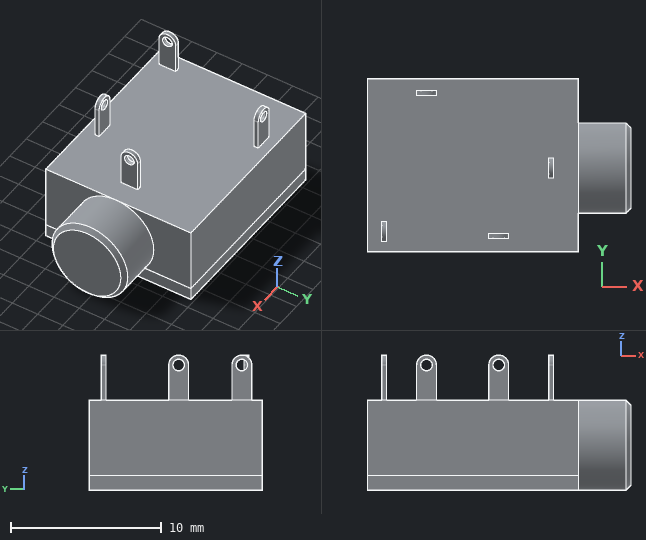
import cadquery as cq

block_length = 14.0
block_width = 11.5
block_height = 6.0
base_thickness = 1.0
housing_height = block_height - base_thickness

barrel_length = 3.5
barrel_radius = block_height / 2
barrel_offset = -0.2
barrel_chamfer = 0.33

tag_width = 1.33
tag_thickness = 0.33
tag_height = 3.0
tag_hole_diameter = 0.75
tag_eye_height = tag_height - tag_width / 2

tags_across_x = [(1.1, -4.4), (12.2, barrel_offset)]
tags_along_x = [(3.92, 4.8), (8.72, -4.69)]


def make_block(height, bottom):
    """Rectangular block with its -X face at x = 0."""
    return cq.Workplane("XY").box(
        block_length, block_width, height, centered=(False, True, False)
    ).translate((0, 0, bottom))


def make_barrel():
    """Cylinder along X with a chamfered free end."""
    return (
        cq.Workplane("YZ", origin=(block_length, barrel_offset, block_height / 2))
        .circle(barrel_radius)
        .extrude(barrel_length)
        .faces(">X").chamfer(barrel_chamfer)
    )


def make_tag(x, y, turn):
    """Round-ended tag with an eye, turned about Z from lying along X."""
    half_width = tag_width / 2
    blade = (
        cq.Workplane("XZ")
        .moveTo(-half_width, 0)
        .lineTo(half_width, 0)
        .lineTo(half_width, tag_eye_height)
        .threePointArc((0, tag_height), (-half_width, tag_eye_height))
        .close()
        .extrude(tag_thickness / 2, both=True)
    )
    eye = (
        cq.Workplane("XZ")
        .center(0, tag_eye_height)
        .circle(tag_hole_diameter / 2)
        .extrude(tag_thickness, both=True)
    )
    return (
        blade.cut(eye)
        .rotate((0, 0, 0), (0, 0, 1), turn)
        .translate((x, y, block_height))
    )


base_plate = make_block(base_thickness, 0)

housing = make_block(housing_height, base_thickness).union(make_barrel())
for x, y in tags_along_x:
    housing = housing.union(make_tag(x, y, 0))
for x, y in tags_across_x:
    housing = housing.union(make_tag(x, y, 90))

result = cq.Compound.makeCompound([housing.val(), base_plate.val()])